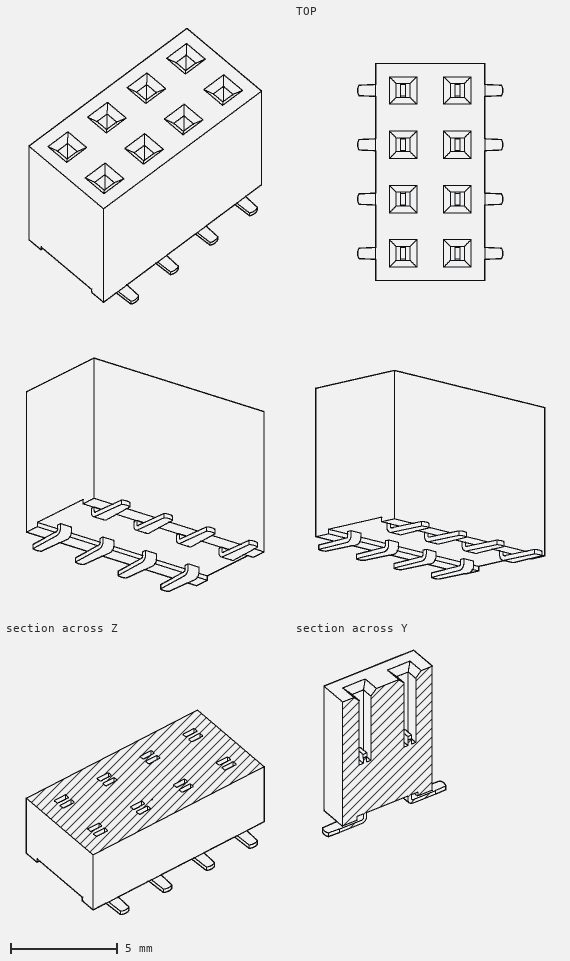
import cadquery as cq
import math

PITCH = 2.54
ROWS = 4
COLUMN_X = PITCH / 2

OVERALL_WIDTH = 6.8
OVERALL_HEIGHT = 7.45

BODY_WIDTH = 5.1
BODY_LENGTH = ROWS * PITCH
BODY_BOTTOM = 0.3
CHANNEL_WIDTH = 3.44
CHANNEL_TOP = 0.52

SOCKET_MOUTH = 1.28
SOCKET_BORE = 0.65
FUNNEL_DEPTH = (SOCKET_MOUTH - SOCKET_BORE) / 2
SOCKET_DEPTH = 4.0

LEAD_THICKNESS = 0.22
LEAD_WIDTH = 0.66
LEAD_TIP_WIDTH = 0.5
LEAD_TIP_BULGE = 0.065
BEND_INNER_RADIUS = 0.08
BEND_OUTER_RADIUS = BEND_INNER_RADIUS + LEAD_THICKNESS
LEAD_ROOT = 1.0

BLADE_TIP_WIDTH = 0.54
BLADE_HEIGHT = 0.5
BLADE_SHOULDER_HEIGHT = 0.3

BODY_TOP = OVERALL_HEIGHT
SOCKET_FLOOR = BODY_TOP - SOCKET_DEPTH
ROW_Y = [(row - (ROWS - 1) / 2) * PITCH for row in range(ROWS)]


def box(width, length, bottom, top):
    """Block centred on the Z axis between two heights."""
    return cq.Workplane("XY").workplane(offset=bottom).rect(width, length).extrude(top - bottom)


def make_housing():
    """Rectangular block with a channel along its underside."""
    housing = box(BODY_WIDTH, BODY_LENGTH, BODY_BOTTOM, BODY_TOP)
    return housing.cut(box(CHANNEL_WIDTH, BODY_LENGTH, BODY_BOTTOM, CHANNEL_TOP))


def make_socket():
    """Void of one socket: a square funnel over a square bore, around a contact blade."""
    funnel = (
        cq.Workplane("XY")
        .workplane(offset=BODY_TOP - FUNNEL_DEPTH)
        .rect(SOCKET_BORE, SOCKET_BORE)
        .workplane(offset=FUNNEL_DEPTH)
        .rect(SOCKET_MOUTH, SOCKET_MOUTH)
        .loft(ruled=True)
    )
    bore = box(SOCKET_BORE, SOCKET_BORE, SOCKET_FLOOR, BODY_TOP - FUNNEL_DEPTH)
    shoulder = box(LEAD_THICKNESS, SOCKET_BORE, SOCKET_FLOOR, SOCKET_FLOOR + BLADE_SHOULDER_HEIGHT)
    blade = box(LEAD_THICKNESS, BLADE_TIP_WIDTH, SOCKET_FLOOR, SOCKET_FLOOR + BLADE_HEIGHT)
    return bore.union(funnel).cut(shoulder).cut(blade)


def make_lead():
    """L-shaped lead of the +X column: upright, bend, and a tapered foot with a rounded end."""
    inner_x = COLUMN_X - LEAD_THICKNESS / 2
    outer_x = COLUMN_X + LEAD_THICKNESS / 2
    bend_x = outer_x + BEND_INNER_RADIUS
    bend_z = BEND_OUTER_RADIUS
    tip_x = OVERALL_WIDTH / 2
    diagonal = math.sqrt(0.5)

    side_profile = (
        cq.Workplane("XZ")
        .moveTo(inner_x, LEAD_ROOT)
        .lineTo(inner_x, bend_z)
        .threePointArc(
            (bend_x - BEND_OUTER_RADIUS * diagonal, bend_z - BEND_OUTER_RADIUS * diagonal),
            (bend_x, 0),
        )
        .lineTo(tip_x, 0)
        .lineTo(tip_x, LEAD_THICKNESS)
        .lineTo(bend_x, LEAD_THICKNESS)
        .threePointArc(
            (bend_x - BEND_INNER_RADIUS * diagonal, bend_z - BEND_INNER_RADIUS * diagonal),
            (outer_x, bend_z),
        )
        .lineTo(outer_x, LEAD_ROOT)
        .close()
        .extrude(LEAD_WIDTH / 2, both=True)
    )

    half_width = LEAD_WIDTH / 2
    half_tip = LEAD_TIP_WIDTH / 2
    corner_x = tip_x - LEAD_TIP_BULGE
    plan_outline = (
        cq.Workplane("XY")
        .moveTo(inner_x, -half_width)
        .lineTo(bend_x, -half_width)
        .lineTo(corner_x, -half_tip)
        .threePointArc((tip_x, 0), (corner_x, half_tip))
        .lineTo(bend_x, half_width)
        .lineTo(inner_x, half_width)
        .close()
        .extrude(LEAD_ROOT)
    )
    return side_profile.intersect(plan_outline)


right_lead = make_lead()
left_lead = right_lead.mirror("YZ")
socket = make_socket()

result = make_housing()
for y in ROW_Y:
    for x in (-COLUMN_X, COLUMN_X):
        result = result.cut(socket.translate((x, y, 0)))
    result = result.union(right_lead.translate((0, y, 0)))
    result = result.union(left_lead.translate((0, y, 0)))